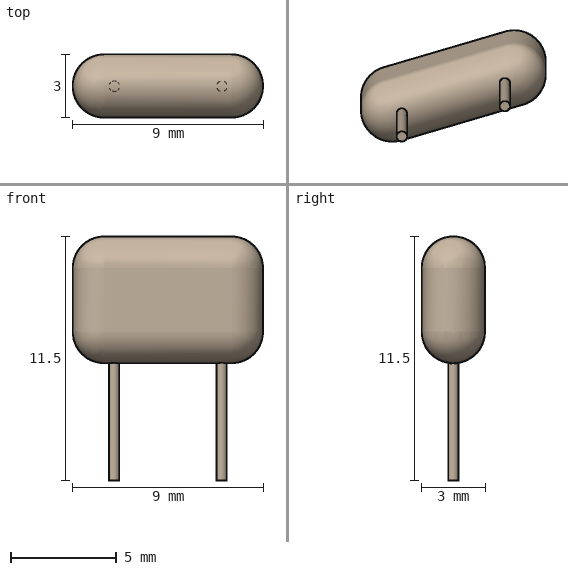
import cadquery as cq

BODY_LENGTH = 9.0
BODY_THICKNESS = 3.0
BODY_HEIGHT = 6.0
RIM_RADIUS = BODY_THICKNESS / 2
FLAT_LENGTH = BODY_LENGTH - 2 * RIM_RADIUS
FLAT_HEIGHT = BODY_HEIGHT - 2 * RIM_RADIUS

TOTAL_HEIGHT = 11.54
LEAD_DIAMETER = 0.5
LEAD_SPACING = 5.08
LEAD_DROP = TOTAL_HEIGHT - BODY_HEIGHT

LEAD_BOTTOM = -BODY_HEIGHT / 2 - LEAD_DROP
RIM_AXIS_Z = -FLAT_HEIGHT / 2


def make_body():
    """Flat core with half-round rims and a ball at each of the four corners."""
    body = cq.Workplane("XY").box(FLAT_LENGTH, BODY_THICKNESS, FLAT_HEIGHT)
    long_rims = (
        cq.Workplane("YZ", origin=(-FLAT_LENGTH / 2, 0, 0))
        .pushPoints([(0, -FLAT_HEIGHT / 2), (0, FLAT_HEIGHT / 2)])
        .circle(RIM_RADIUS)
        .extrude(FLAT_LENGTH)
    )
    end_rims = (
        cq.Workplane("XY", origin=(0, 0, -FLAT_HEIGHT / 2))
        .pushPoints([(-FLAT_LENGTH / 2, 0), (FLAT_LENGTH / 2, 0)])
        .circle(RIM_RADIUS)
        .extrude(FLAT_HEIGHT)
    )
    corner_balls = (
        cq.Workplane("XZ")
        .rect(FLAT_LENGTH, FLAT_HEIGHT, forConstruction=True)
        .vertices()
        .sphere(RIM_RADIUS)
    )
    return body.union(long_rims).union(end_rims).union(corner_balls).solids()


def make_lead(x, body):
    """Straight round wire whose top is shaped to sit on the rounded underside of the body."""
    wire = (
        cq.Workplane("XY", origin=(x, 0, LEAD_BOTTOM))
        .circle(LEAD_DIAMETER / 2)
        .extrude(RIM_AXIS_Z - LEAD_BOTTOM)
    )
    return wire.cut(body).solids()


body = make_body()
leads = [make_lead(side * LEAD_SPACING / 2, body) for side in (-1, 1)]

result = cq.Compound.makeCompound([body.val(), *[lead.val() for lead in leads]])